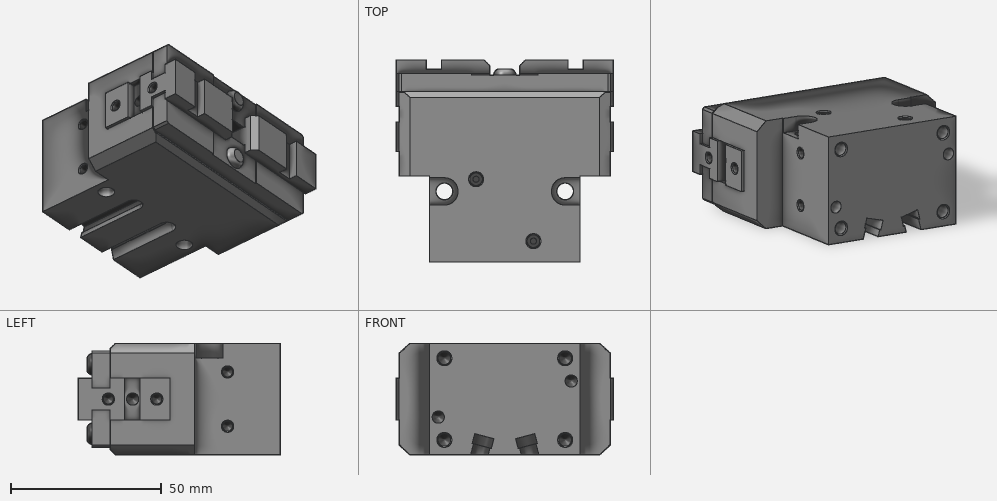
import cadquery as cq
import math


height = 37.0
foot_width = 50.0
shoulder_width = 70.0
shoulder_y = 28.5
corner_chamfer_x = 3.5
corner_chamfer_z = 3.25
face_chamfer = 1.9
seam_chamfer = 0.25

cover_y = 56.5
cover_face_y = 62.5
cover_height = 32.0
recess_floor_y = 62.0
recess_width = 22.0

screw_z = 11.5
screw_base_radius = 3.75
screw_top_radius = 2.3
screw_head_height = 2.1
screw_shoulder_radius = 3.3
screw_shoulder_height = 1.2

jaw_end_x = 36.0
jaw_inner_x = 4.9
jaw_back_y = 36.65
jaw_front_y = 67.0
jaw_height = 14.0
neck_height = 7.2
jaw_end_groove_back_y = 46.5
jaw_end_groove_front_y = 51.6
jaw_end_groove_depth = 3.0
jaw_front_groove_inner_x = 21.0
jaw_front_groove_outer_x = 26.0
jaw_front_groove_depth = 3.0
jaw_chamfer = 1.95
jaw_screw_hole_ys = (41.0, 57.0)
jaw_pin_hole_y = 48.95

large_thread, large_core = 5.0, 4.2
small_thread, small_core = 4.0, 3.3
pin_diameter = 4.0
large_hole_depth = 10.1
small_hole_depth = 6.5
pin_hole_depth = 6.5
drill_tip_angle = 118.0
mount_hole_x, mount_hole_z = 20.0, 13.5
mount_pin_x, mount_pin_z = 22.0, 6.0
side_hole_y, side_hole_z = 17.5, 9.0

port_centers = ((-9.5, 27.5), (9.5, 7.0))
port_depth = 7.2
port_duct_diameter = 2.0
port_duct_depth = 3.6

bolt_x, bolt_y = 20.0, 23.5
bolt_hole_diameter = 5.5
bolt_seat_width = 9.1
bolt_seat_depth = 4.9

sensor_slot_x = 8.4
sensor_slot_tilt = 15.0
sensor_slot_length = 28.5
sensor_stem_width = 5.6
sensor_head_width = 6.55
sensor_head_start = 3.1
sensor_slot_depth = 6.4


def box(x0, x1, y0, y1, z0, z1):
    """Block between two opposite corners."""
    return cq.Workplane("XY").box(x1 - x0, y1 - y0, z1 - z0, centered=False).translate((x0, y0, z0))


def centered_bar(width, y0, y1, bar_height):
    """Block from y0 to y1, centred on X = 0 and Z = 0."""
    return box(-width / 2, width / 2, y0, y1, -bar_height / 2, bar_height / 2)


def drilled_hole(center, direction, diameter, depth):
    """Cutter for a blind hole with a conical drill tip."""
    tip = diameter / 2 / math.tan(math.radians(drill_tip_angle / 2))
    profile = [(0, 0), (diameter / 2, 0), (diameter / 2, depth), (0, depth + tip)]
    cutter = cq.Workplane("XZ").polyline(profile).close().revolve(360, (0, 0), (0, 1))
    return cq.Workplane(cutter.val().moved(cq.Location(cq.Plane(center, normal=direction))))


def countersink(center, direction, outer, inner):
    """Cutter for the 45 degree entry chamfer of a hole."""
    depth = (outer - inner) / 2
    cone = cq.Solid.makeCone(outer / 2, inner / 2, depth, cq.Vector(*center), cq.Vector(*direction))
    return cq.Workplane(cone)


def threaded_hole(center, direction, thread, core, depth):
    """Cutter for a blind core hole whose mouth is chamfered to the thread diameter."""
    hole = drilled_hole(center, direction, core, depth)
    return hole.union(countersink(center, direction, thread, core))


def octagon_prism(y0, y1):
    """Shoulder cross-section with its four corners bevelled, from y0 to y1."""
    x, z = shoulder_width / 2, height / 2
    bevel_x, bevel_z = x - corner_chamfer_x, z - corner_chamfer_z
    outline = [(bevel_x, z), (x, bevel_z), (x, -bevel_z), (bevel_x, -z),
               (-bevel_x, -z), (-x, -bevel_z), (-x, bevel_z), (-bevel_x, z)]
    return cq.Workplane("XZ", origin=(0, y1, 0)).polyline(outline).close().extrude(y1 - y0)


def shoulder():
    """Wide part of the housing, with the front edges bevelled, most deeply above and below."""
    block = octagon_prism(shoulder_y, cover_y)
    block = block.faces(">Y").edges("not(|X)").chamfer(seam_chamfer)
    return block.faces(">Z or <Z").edges(">Y").chamfer(face_chamfer)


def cover():
    """Front cover, with a shallow recess across its face."""
    plate = centered_bar(shoulder_width, cover_y, cover_face_y, cover_height)
    plate = plate.intersect(octagon_prism(cover_y, cover_face_y))
    return plate.cut(centered_bar(recess_width, recess_floor_y, cover_face_y, cover_height))


def cover_screw(z):
    """Button head standing on the floor of the cover recess."""
    head = (
        cq.Workplane("XY")
        .lineTo(screw_base_radius, 0)
        .threePointArc((screw_shoulder_radius, screw_shoulder_height), (screw_top_radius, screw_head_height))
        .lineTo(0, screw_head_height)
        .close()
        .revolve(360, (0, 0), (0, 1))
    )
    return head.translate((0, recess_floor_y, z))


def jaw_channel():
    """T-shaped guideway along X that holds both jaws."""
    base = centered_bar(shoulder_width, jaw_back_y, cover_y, jaw_height)
    return base.union(centered_bar(shoulder_width, cover_y, cover_face_y, neck_height))


def mounting_holes():
    """Threaded holes and pin holes in the mounting face."""
    cutters = []
    for x in (-mount_hole_x, mount_hole_x):
        for z in (-mount_hole_z, mount_hole_z):
            cutters.append(threaded_hole((x, 0, z), (0, 1, 0), large_thread, large_core, large_hole_depth))
    for side in (-1, 1):
        center = (side * mount_pin_x, 0, side * mount_pin_z)
        cutters.append(drilled_hole(center, (0, 1, 0), pin_diameter, pin_hole_depth))
    return cutters


def side_holes():
    """Threaded holes in both flanks of the foot."""
    cutters = []
    for side in (-1, 1):
        for z in (-side_hole_z, side_hole_z):
            center = (side * foot_width / 2, side_hole_y, z)
            cutters.append(threaded_hole(center, (-side, 0, 0), small_thread, small_core, small_hole_depth))
    return cutters


def air_port(x, y):
    """Flat-bottomed threaded port with a narrow duct below it."""
    mouth = (x, y, height / 2)
    down = cq.Vector(0, 0, -1)
    duct_end = port_depth + port_duct_depth
    bore = cq.Workplane(cq.Solid.makeCylinder(large_core / 2, port_depth, cq.Vector(*mouth), down))
    duct = cq.Workplane(cq.Solid.makeCylinder(port_duct_diameter / 2, duct_end, cq.Vector(*mouth), down))
    return bore.union(duct).union(countersink(mouth, (0, 0, -1), large_thread, large_core))


def bolt_seat(side):
    """Bolt hole through the foot with a round-ended head seat that opens to the flank."""
    x = side * bolt_x
    flank_x = side * foot_width / 2
    seat_z = height / 2 - bolt_seat_depth
    radius = bolt_seat_width / 2
    hole = cq.Workplane("XY", origin=(x, bolt_y, -height / 2)).circle(bolt_hole_diameter / 2).extrude(height)
    round_end = cq.Workplane("XY", origin=(x, bolt_y, seat_z)).circle(radius).extrude(bolt_seat_depth)
    opening = box(min(x, flank_x), max(x, flank_x), bolt_y - radius, bolt_y + radius, seat_z, height / 2)
    return hole.union(round_end).union(opening)


def slot_with_round_end(width, start, end):
    """Slot along +Y with a half-round end, spanning the heights start to end."""
    straight = sensor_slot_length - width / 2
    outline = (
        cq.Workplane("XY", origin=(0, 0, start))
        .moveTo(-width / 2, 0)
        .lineTo(-width / 2, straight)
        .threePointArc((0, sensor_slot_length), (width / 2, straight))
        .lineTo(width / 2, 0)
        .close()
    )
    return outline.extrude(end - start)


def sensor_slot(side):
    """Undercut slot that leans towards the middle and opens to the mounting and bottom faces."""
    below_bottom = -sensor_stem_width / 2
    stem = slot_with_round_end(sensor_stem_width, below_bottom, sensor_slot_depth)
    head = slot_with_round_end(sensor_head_width, sensor_head_start, sensor_slot_depth)
    slot = stem.union(head).rotate((0, 0, 0), (0, 1, 0), -side * sensor_slot_tilt)
    return slot.translate((side * sensor_slot_x, 0, -height / 2))


def build_housing():
    body = centered_bar(foot_width, 0, shoulder_y, height).union(shoulder()).union(cover())
    for z in (-screw_z, screw_z):
        body = body.union(cover_screw(z))
    body = body.cut(jaw_channel())
    for cutter in mounting_holes() + side_holes():
        body = body.cut(cutter)
    for x, y in port_centers:
        body = body.cut(air_port(x, y))
    for side in (-1, 1):
        body = body.cut(bolt_seat(side)).cut(sensor_slot(side))
    return body


def build_jaw():
    """Jaw on the -X side: guided base, neck through the cover, and head in front of it."""
    half_height, half_neck = jaw_height / 2, neck_height / 2
    base = box(-jaw_end_x, -jaw_inner_x, jaw_back_y, cover_y, -half_height, half_height)
    neck = box(-jaw_end_x, -jaw_inner_x, cover_y, cover_face_y, -half_neck, half_neck)
    head = box(-jaw_end_x, -jaw_inner_x, cover_face_y, jaw_front_y, -half_height, half_height)
    head = head.edges(">X and >Y").chamfer(jaw_chamfer)
    jaw = base.union(neck).union(head)

    front_groove = box(-jaw_front_groove_outer_x, -jaw_front_groove_inner_x,
                       jaw_front_y - jaw_front_groove_depth, jaw_front_y, -half_height, half_height)
    end_groove_floor_x = -jaw_end_x + jaw_end_groove_depth
    end_groove = box(-jaw_end_x, end_groove_floor_x, jaw_end_groove_back_y, jaw_end_groove_front_y,
                     -half_height, half_height)
    jaw = jaw.cut(front_groove).cut(end_groove)

    inward = (1, 0, 0)
    for y in jaw_screw_hole_ys:
        hole = threaded_hole((-jaw_end_x, y, 0), inward, small_thread, small_core, small_hole_depth)
        jaw = jaw.cut(hole)
    return jaw.cut(drilled_hole((end_groove_floor_x, jaw_pin_hole_y, 0), inward, pin_diameter, pin_hole_depth))


housing = build_housing()
left_jaw = build_jaw()
jaws = [left_jaw, left_jaw.mirror("YZ")]

result = cq.Compound.makeCompound([housing.val(), *[jaw.val() for jaw in jaws]])